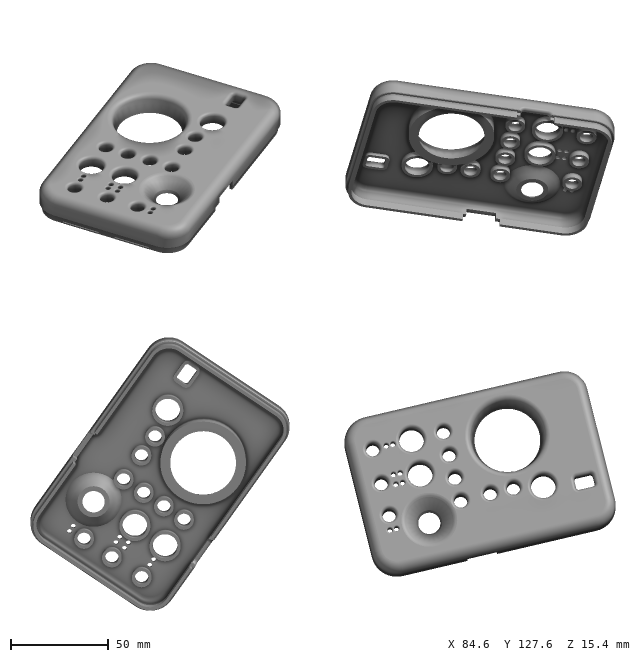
import cadquery as cq
import math

LENGTH_X = 84.6
LENGTH_Y = 127.6
HEIGHT = 15.4
LIP_HEIGHT = 4.2
LIP_INSET = 1.4
RIM_CHAMFER = 0.3
PLATE = 3.0
BODY_WALL = 2.5
LIP_INNER_INSET = 3.0
TOP_ROUND = 5.15
PLATE_BOTTOM = HEIGHT - PLATE
OVERLAP = 0.5
PICK_MARGIN = 0.1
ROUND_RELIEF = 0.001
CORNER_LEFT_FRONT = 13.3
CORNER_RIGHT_FRONT = 13.0
CORNER_RIGHT_BACK = 12.7
CORNER_LEFT_BACK = 12.0

TUBE_WALL = 1.6
TUBE_BOTTOM = 9.3

KNOB_RADIUS = 6.35
KNOB_ROUND = 1.7
KNOB_CENTRES = [(15.4, 29.6), (-24.2, -30.1), (-5.4, -30.1)]

BUTTON_RADIUS = 3.45
BUTTON_ROUND = 1.65
BUTTON_ROW_Y = -13.3
BUTTON_ROW_START = -24.3
BUTTON_ROW_PITCH = 12.5
BUTTON_ROW_COUNT = 4
JACK_ROW_Y = -50.6
BUTTON_CENTRES = [(12.9, 14.5), (12.9, 2.3)]
BUTTON_CENTRES += [(BUTTON_ROW_START + i * BUTTON_ROW_PITCH, BUTTON_ROW_Y) for i in range(BUTTON_ROW_COUNT)]
BUTTON_CENTRES += [(x, JACK_ROW_Y) for x in (-23.8, -5.3, 12.0)]

LIGHT_RADIUS = 1.25
LIGHT_ROUND = 0.65
LIGHT_PITCH = 3.5
LIGHT_COLUMNS = [(-23.9, -40.0), (-8.2, -40.0), (-2.9, -40.0), (20.0, -48.7)]

DIAL_CENTRE = (-14.6, 18.0)
DIAL_TOP_RADIUS = 21.85
DIAL_ROUND = 3.05
DIAL_ROUND_DROP = 2.3
DIAL_BOTTOM_RADIUS = 16.8
DIAL_BOTTOM = 5.6

DISH_CENTRE = (19.4, -31.3)
DISH_TOP_RADIUS = 14.3
DISH_CONE_TOP_RADIUS = 12.3
DISH_CONE_TOP_DROP = 0.8
DISH_CONE_BOTTOM_RADIUS = 6.6
DISH_CONE_BOTTOM_DROP = 5.5
DISH_HOLE_RADIUS = 5.65
DISH_DEPTH = 7.0

SLOT_CENTRE = (18.15, 50.6)
SLOT_SIZE_X = 6.9
SLOT_SIZE_Y = 9.8
SLOT_CORNER = 1.4
SLOT_ROUND = 1.9
SLOT_COLLAR_BOTTOM = 10.6

NOTCH_Y_BACK = -12.65
NOTCH_Y_FRONT = -28.3
NOTCH_TOP = 5.7
NOTCH_BOTTOM = 2.5
NOTCH_CORNER = 2.25
NOTCH_ROUND = 1.5
LIP_GAP_MARGIN = 1.9
LIP_GAP_DEPTH = 0.8
FAR_NOTCH_Y_FRONT = -16.8
FAR_NOTCH_TOP = 8.0

BEAD_RANGES = [(-24.6, -3.9), (4.7, 24.7)]
BEAD_BOTTOM = 0.2
BEAD_TOP = 1.25
BEAD_PROJECTION = 0.55
BEAD_END_TAPER = 0.7
BEAD_UNDERCUT = 0.5
BEAD_EMBED = 0.5


def rounded_plan(inset, z_bottom, height):
    """Prism with the plan outline of the lid, moved inward by an inset."""
    half_x = LENGTH_X / 2 - inset
    half_y = LENGTH_Y / 2 - inset
    block = cq.Workplane("XY").box(2 * half_x, 2 * half_y, height, centered=(True, True, False))
    corners = [
        (-half_x, -half_y, CORNER_LEFT_FRONT),
        (half_x, -half_y, CORNER_RIGHT_FRONT),
        (half_x, half_y, CORNER_RIGHT_BACK),
        (-half_x, half_y, CORNER_LEFT_BACK),
    ]
    for x, y, radius in corners:
        block = block.edges(cq.selectors.NearestToPointSelector((x, y, height / 2))).fillet(radius - inset)
    return block.translate((0, 0, z_bottom))


def make_envelope():
    """Solid envelope: rounded upper body on a stepped lip."""
    body = rounded_plan(0, LIP_HEIGHT, HEIGHT - LIP_HEIGHT)
    body = body.faces(">Z").edges().fillet(TOP_ROUND).faces("<Z").edges().chamfer(RIM_CHAMFER)
    lip = rounded_plan(LIP_INSET, 0, LIP_HEIGHT + OVERLAP)
    return body.union(lip)


def make_cavity():
    """Hollow below the top plate, narrower within the lip."""
    upper = rounded_plan(BODY_WALL, LIP_HEIGHT, PLATE_BOTTOM - LIP_HEIGHT)
    upper = upper.faces(">Z").edges().fillet(TOP_ROUND - BODY_WALL)
    return upper.union(rounded_plan(LIP_INNER_INSET, 0, LIP_HEIGHT))


def cylinder(centre, radius, z_bottom, z_top):
    return cq.Workplane("XY", origin=(*centre, z_bottom)).circle(radius).extrude(z_top - z_bottom)


def revolve_profile(profile, centre):
    """Spin a closed profile of (radius, height) about a vertical axis."""
    return profile.close().revolve(360, (0, 0, 0), (0, 1, 0)).translate((*centre, 0))


def round_hole_cutter(centre, radius, rim_round):
    """Through hole whose upper rim is rounded outward."""
    diagonal = rim_round * (1 - math.sqrt(0.5))
    profile = (
        cq.Workplane("XZ")
        .lineTo(radius, 0)
        .lineTo(radius, HEIGHT - rim_round)
        .threePointArc((radius + diagonal, HEIGHT - diagonal), (radius + rim_round, HEIGHT))
        .lineTo(0, HEIGHT)
    )
    return revolve_profile(profile, centre)


def dial_cutter():
    """Large tapered opening with a rounded rim."""
    neck_radius = DIAL_TOP_RADIUS - DIAL_ROUND
    profile = (
        cq.Workplane("XZ")
        .lineTo(DIAL_BOTTOM_RADIUS, 0)
        .lineTo(DIAL_BOTTOM_RADIUS, DIAL_BOTTOM)
        .lineTo(neck_radius, HEIGHT - DIAL_ROUND_DROP)
        .tangentArcPoint((DIAL_TOP_RADIUS, HEIGHT), relative=False)
        .lineTo(0, HEIGHT)
    )
    return revolve_profile(profile, DIAL_CENTRE)


def dish_cutter():
    """Conical dish with a round hole at its floor."""
    profile = (
        cq.Workplane("XZ")
        .lineTo(DISH_HOLE_RADIUS, 0)
        .lineTo(DISH_HOLE_RADIUS, HEIGHT - DISH_DEPTH)
        .lineTo(DISH_CONE_BOTTOM_RADIUS, HEIGHT - DISH_CONE_BOTTOM_DROP)
        .lineTo(DISH_CONE_TOP_RADIUS, HEIGHT - DISH_CONE_TOP_DROP)
        .tangentArcPoint((DISH_TOP_RADIUS, HEIGHT), relative=False)
        .lineTo(0, HEIGHT)
    )
    return revolve_profile(profile, DISH_CENTRE)


def dish_bowl():
    """Material that carries the conical dish below the top plate."""
    bottom = HEIGHT - DISH_DEPTH
    profile = (
        cq.Workplane("XZ")
        .moveTo(0, bottom)
        .lineTo(DISH_CONE_BOTTOM_RADIUS + TUBE_WALL, bottom)
        .lineTo(DISH_TOP_RADIUS, PLATE_BOTTOM)
        .lineTo(0, PLATE_BOTTOM)
    )
    return revolve_profile(profile, DISH_CENTRE)


def slot_prism(margin, z_bottom, z_top):
    return (
        cq.Workplane("XY", origin=(*SLOT_CENTRE, z_bottom))
        .rect(SLOT_SIZE_X + 2 * margin, SLOT_SIZE_Y + 2 * margin)
        .extrude(z_top - z_bottom)
        .edges("|Z")
        .fillet(SLOT_CORNER + margin)
    )


def slot_cutter():
    """Slot with its upper rim rounded outward: a wide block less its rounded surround."""
    surround = slot_prism(2 * SLOT_ROUND, HEIGHT - SLOT_ROUND, HEIGHT)
    surround = surround.cut(slot_prism(0, 0, HEIGHT))
    x, y = SLOT_CENTRE
    reach_x = SLOT_SIZE_X / 2 + PICK_MARGIN
    reach_y = SLOT_SIZE_Y / 2 + PICK_MARGIN
    rim = cq.selectors.BoxSelector(
        (x - reach_x, y - reach_y, HEIGHT - PICK_MARGIN),
        (x + reach_x, y + reach_y, HEIGHT + PICK_MARGIN),
    )
    surround = surround.edges(rim).fillet(SLOT_ROUND - ROUND_RELIEF)
    flare = slot_prism(SLOT_ROUND, HEIGHT - SLOT_ROUND, HEIGHT).cut(surround)
    return slot_prism(0, 0, HEIGHT).union(flare)


def side_block(x_start, x_end, y_front, y_back, z_bottom, z_top):
    size = (x_end - x_start, y_back - y_front, z_top - z_bottom)
    return cq.Workplane("XY").box(*size, centered=False).translate((x_start, y_front, z_bottom))


def arch_prism(x_start, depth, margin):
    """Notch outline, round at its upper corners, pushed along X."""
    y_front = NOTCH_Y_FRONT - margin
    y_back = NOTCH_Y_BACK + margin
    arch = side_block(x_start, x_start + depth, y_front, y_back, 0, NOTCH_TOP + margin)
    return arch.edges("|X and >Z").fillet(NOTCH_CORNER + margin)


def cut_near_notch(part):
    """Arched cable notch with a rounded mouth, and the lip cleared around it."""
    outside = -LENGTH_X / 2
    gap_front = NOTCH_Y_FRONT - LIP_GAP_MARGIN
    gap_back = NOTCH_Y_BACK + LIP_GAP_MARGIN
    depth = LIP_INNER_INSET + OVERLAP
    opening = arch_prism(outside, depth, 0)
    collar = arch_prism(outside, NOTCH_ROUND, 2 * NOTCH_ROUND).cut(opening)
    mouth_edges = cq.selectors.BoxSelector(
        (outside - PICK_MARGIN, NOTCH_Y_FRONT - PICK_MARGIN, -PICK_MARGIN),
        (outside + PICK_MARGIN, NOTCH_Y_BACK + PICK_MARGIN, NOTCH_TOP + PICK_MARGIN),
    )
    collar = collar.edges(mouth_edges).fillet(NOTCH_ROUND - ROUND_RELIEF)
    mouth = arch_prism(outside, NOTCH_ROUND, NOTCH_ROUND).cut(collar)
    lip_face = outside + LIP_INSET + LIP_GAP_DEPTH
    part = part.cut(opening).cut(mouth)
    part = part.cut(side_block(outside, lip_face, gap_front, gap_back, 0, LIP_HEIGHT))
    return part.cut(side_block(outside, outside + depth, gap_front, gap_back, 0, NOTCH_BOTTOM))


def cut_far_notch(part):
    """Plain opening in the opposite wall, as wide as the near notch."""
    width = NOTCH_Y_BACK - NOTCH_Y_FRONT
    back = FAR_NOTCH_Y_FRONT + width
    x_start = LENGTH_X / 2 - LIP_INNER_INSET - OVERLAP
    x_end = LENGTH_X / 2
    part = part.cut(side_block(x_start, x_end, FAR_NOTCH_Y_FRONT, back, 0, FAR_NOTCH_TOP))
    gap_front = FAR_NOTCH_Y_FRONT - LIP_GAP_MARGIN
    return part.cut(side_block(x_start, x_end, gap_front, back + LIP_GAP_MARGIN, 0, LIP_HEIGHT))


def snap_bead(x_start, x_end):
    """Ridge along the front lip with slanted ends and a sloped underside."""
    lip_face = -LENGTH_Y / 2 + LIP_INSET
    crest = lip_face - BEAD_PROJECTION
    outline = [
        (x_start, lip_face + BEAD_EMBED),
        (x_start, lip_face),
        (x_start + BEAD_END_TAPER, crest),
        (x_end - BEAD_END_TAPER, crest),
        (x_end, lip_face),
        (x_end, lip_face + BEAD_EMBED),
    ]
    bead = cq.Workplane("XY", origin=(0, 0, BEAD_BOTTOM)).polyline(outline).close()
    bead = bead.extrude(BEAD_TOP - BEAD_BOTTOM)
    return bead.faces("<Y").edges("<Z").chamfer(BEAD_UNDERCUT, BEAD_UNDERCUT / 2)


collars = slot_prism(TUBE_WALL, SLOT_COLLAR_BOTTOM, PLATE_BOTTOM).union(dish_bowl())
collars = collars.union(cylinder(DIAL_CENTRE, DIAL_TOP_RADIUS, DIAL_BOTTOM, PLATE_BOTTOM))
for spot in KNOB_CENTRES:
    collars = collars.union(cylinder(spot, KNOB_RADIUS + TUBE_WALL, TUBE_BOTTOM, PLATE_BOTTOM))
for spot in BUTTON_CENTRES:
    collars = collars.union(cylinder(spot, BUTTON_RADIUS + TUBE_WALL, TUBE_BOTTOM, PLATE_BOTTOM))
part = make_envelope().cut(make_cavity().cut(collars))

part = part.cut(dial_cutter()).cut(dish_cutter()).cut(slot_cutter())
for spot in KNOB_CENTRES:
    part = part.cut(round_hole_cutter(spot, KNOB_RADIUS, KNOB_ROUND))
for spot in BUTTON_CENTRES:
    part = part.cut(round_hole_cutter(spot, BUTTON_RADIUS, BUTTON_ROUND))
for x, y in LIGHT_COLUMNS:
    for spot in ((x, y), (x, y - LIGHT_PITCH)):
        part = part.cut(round_hole_cutter(spot, LIGHT_RADIUS, LIGHT_ROUND))

part = cut_far_notch(cut_near_notch(part))
for x_start, x_end in BEAD_RANGES:
    part = part.union(snap_bead(x_start, x_end))

result = part